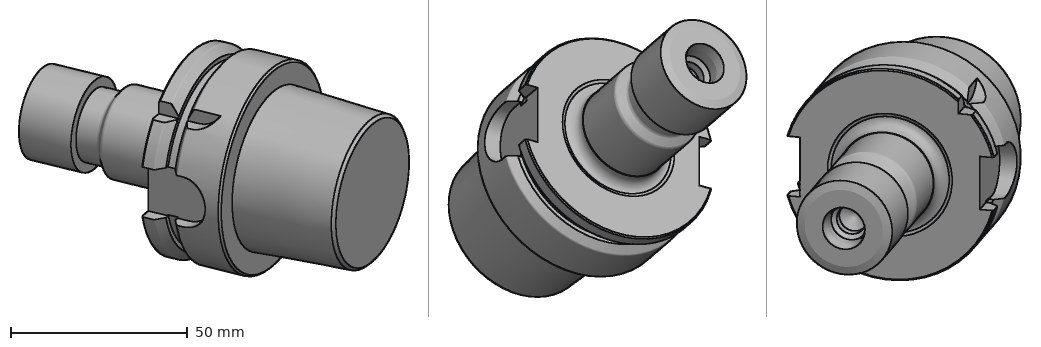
import cadquery as cq
import math

total_length = 107.0

head_radius = 14.0
head_face_radius = 11.5
head_bevel_length = 0.7
head_length = 17.5
neck_radius = 11.0
neck_end = 24.7
body_radius = 13.9
body_start = 27.0
body_blend = 1.1
collar_start = 45.0
collar_radius = 14.0
collar_bevel_length = collar_radius - body_radius

root_fillet_radius = 3.3
relief_depth = 0.3
relief_radius = 18.3

flange_radius = 63.0 / 2
flange_start = 49.1
flange_end = 75.0
flange_bevel = 0.6
front_bevel = 0.4
groove_start = 55.5
groove_end = 58.5
groove_radius = 27.5
groove_wall_radius = 28.9
front_rim_end = 53.2
rear_rim_start = 60.5
rim_blend = 0.6

taper_start_radius = 24.4
taper_end_radius = 22.8
shank_bevel = 1.0

bore_mouth_radius = 6.2
bore_radius = 11.0 / 2
bore_taper_depth = 3.0
bore_depth = 6.6
pilot_radius = 8.5 / 2
pilot_shoulder = bore_depth + bore_radius - pilot_radius
pilot_depth = 10.7
drill_tip_angle = 118.0

slot_floor = 26.4
slot_end = 70.2
front_slot_width = 15.8
rear_slot_width = 17.8
rear_slot_corner = 7.7

notch_offset = 20.1
notch_run_out = 61.7
notch_cutter_radius = 8.5


def turned_blank():
    """Revolve the outer profile about the X axis."""
    root_bottom = flange_start + relief_depth
    root_start = root_bottom - root_fillet_radius
    root_top_radius = collar_radius + root_fillet_radius
    root_mid_offset = root_fillet_radius * math.sqrt(0.5)
    profile = (
        cq.Workplane("XY")
        .moveTo(0, 0)
        .lineTo(0, head_face_radius)
        .lineTo(head_bevel_length, head_radius)
        .lineTo(head_length, head_radius)
        .lineTo(head_length, neck_radius)
        .lineTo(neck_end, neck_radius)
        .lineTo(body_start, body_radius)
        .lineTo(collar_start, body_radius)
        .lineTo(collar_start + collar_bevel_length, collar_radius)
        .lineTo(root_start, collar_radius)
        .threePointArc(
            (root_start + root_mid_offset, root_top_radius - root_mid_offset),
            (root_bottom, root_top_radius),
        )
        .lineTo(flange_start, relief_radius)
        .lineTo(flange_start, flange_radius - front_bevel)
        .lineTo(flange_start + front_bevel, flange_radius)
        .lineTo(front_rim_end, flange_radius)
        .lineTo(groove_start, groove_wall_radius)
        .lineTo(groove_start, groove_radius)
        .lineTo(groove_end, groove_radius)
        .lineTo(groove_end, groove_wall_radius)
        .lineTo(rear_rim_start, flange_radius)
        .lineTo(flange_end - flange_bevel, flange_radius)
        .lineTo(flange_end, flange_radius - flange_bevel)
        .lineTo(flange_end, taper_start_radius)
        .lineTo(total_length - shank_bevel, taper_end_radius)
        .lineTo(total_length, taper_end_radius - shank_bevel)
        .lineTo(total_length, 0)
        .close()
    )
    return profile.revolve(360, (0, 0, 0), (1, 0, 0))


def blend_edges(part, edge_positions, radius):
    """Round the circular edges found at the given places along X."""
    reach = 2 * flange_radius
    margin = 0.05
    for x in edge_positions:
        near = (x - margin, -reach, -reach)
        far = (x + margin, reach, reach)
        part = part.edges(cq.selectors.BoxSelector(near, far)).edges("%CIRCLE").fillet(radius)
    return part


def centre_bore():
    tip_length = pilot_radius / math.tan(math.radians(drill_tip_angle / 2))
    outline = [
        (0, 0),
        (0, bore_mouth_radius),
        (bore_taper_depth, bore_radius),
        (bore_depth, bore_radius),
        (pilot_shoulder, pilot_radius),
        (pilot_depth, pilot_radius),
        (pilot_depth + tip_length, 0),
    ]
    return cq.Workplane("XY").polyline(outline).close().revolve(360, (0, 0, 0), (1, 0, 0))


def slot_block(length, width, side):
    """Block open at the flange face; side is -1 for -Y and +1 for +Y."""
    depth = flange_radius - slot_floor
    block = cq.Workplane("XY").box(length, depth, width, centered=(False, True, True))
    return block.translate((flange_start, side * (slot_floor + depth / 2), 0))


def round_ended_slot():
    """Slot on the -Y side that ends in a full half-circle."""
    end_radius = front_slot_width / 2
    end_centre = slot_end - end_radius
    block = slot_block(end_centre - flange_start, front_slot_width, -1)
    end = (
        cq.Workplane("XZ", origin=(end_centre, -slot_floor, 0))
        .circle(end_radius)
        .extrude(flange_radius - slot_floor)
    )
    return block.union(end)


def flat_ended_slot():
    """Wider slot on the +Y side with two rounded corners and a short flat end."""
    block = slot_block(slot_end - flange_start, rear_slot_width, 1)
    return block.edges(">X and |Y").fillet(rear_slot_corner)


def orientation_notch():
    """Square corner notch whose floor rises along a cutter arc at its rear end."""
    top = flange_radius
    rise = top - notch_offset
    arc_centre = notch_offset + notch_cutter_radius

    def arc_x(height):
        return notch_run_out + math.sqrt(notch_cutter_radius**2 - (arc_centre - height)**2)

    return (
        cq.Workplane("XZ", origin=(0, -notch_offset, 0))
        .moveTo(flange_start, notch_offset)
        .lineTo(notch_run_out, notch_offset)
        .threePointArc((arc_x(notch_offset + rise / 4), notch_offset + rise / 4), (arc_x(top), top))
        .lineTo(flange_start, top)
        .close()
        .extrude(rise)
    )


result = turned_blank()
result = blend_edges(result, (neck_end, body_start), body_blend)
result = blend_edges(result, (front_rim_end, rear_rim_start), rim_blend)
result = result.cut(centre_bore())
result = result.cut(round_ended_slot())
result = result.cut(flat_ended_slot())
result = result.cut(orientation_notch())